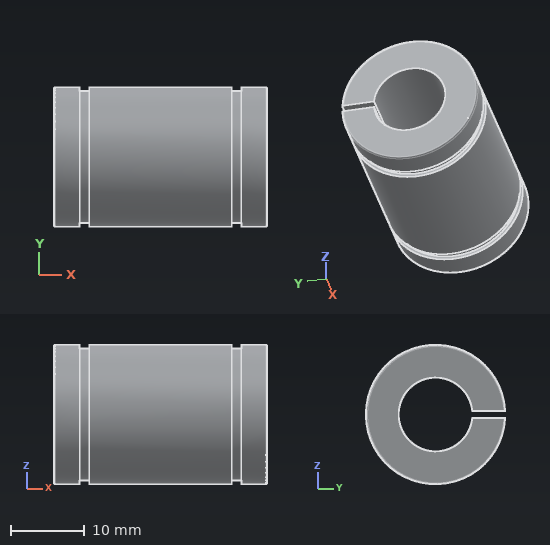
import cadquery as cq

length = 29.0
outer_diameter = 19.0
bore_diameter = 10.0
edge_radius = 0.2

groove_span = 22.0
groove_width = 1.3
groove_diameter = 18.0

slit_width = 0.9


def cylinder(diameter, height, start_x):
    """Solid cylinder along +X starting at start_x."""
    return cq.Workplane("YZ", origin=(start_x, 0, 0)).circle(diameter / 2).extrude(height)


def groove_cutter(start_x):
    """Ring that removes one groove from the outer surface."""
    ring = cylinder(outer_diameter, groove_width, start_x)
    return ring.cut(cylinder(groove_diameter, groove_width, start_x))


body = cylinder(outer_diameter, length, -length / 2).edges("%CIRCLE").fillet(edge_radius)
body = body.cut(cylinder(bore_diameter, length, -length / 2))

for groove_start in (-groove_span / 2, groove_span / 2 - groove_width):
    body = body.cut(groove_cutter(groove_start))

slit = cq.Workplane("XY").box(length, outer_diameter, slit_width).translate((0, outer_diameter / 2, 0))
result = body.cut(slit)